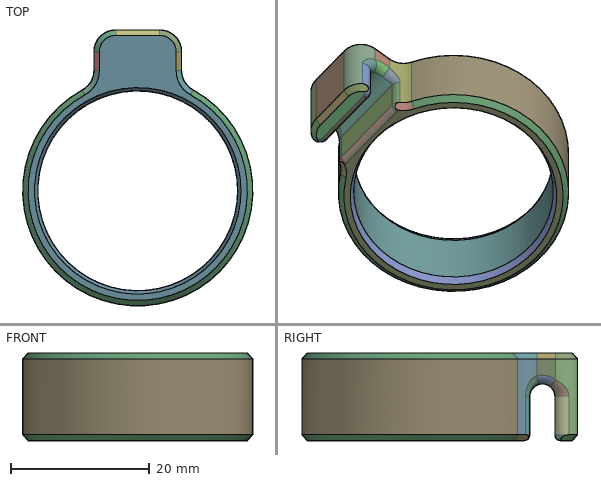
import cadquery as cq
import math

height = 12.7
ring_outer_diameter = 33.27
ring_outer_radius = ring_outer_diameter / 2
bore_diameter = 28.83
outer_chamfer_width = 0.8
outer_chamfer_height = 0.88
bore_chamfer_width = 0.5
bore_chamfer_height = 1.27

tab_width = 12.7
tab_end_y = 23.25
tab_corner_radius = 3.175
tab_root_radius = 3.175

slot_width = 3.6
slot_center_y = 18.14
slot_arch_center_z = 6.4
slot_side_radius = 1.27
slot_bottom_radius = 0.87

selection_margin = 0.01
along_x = cq.selectors.ParallelDirSelector(cq.Vector(1, 0, 0))


def make_outline():
    """Closed outline of the ring and tab, blended by arcs at the tab root."""
    half_width = tab_width / 2
    root_center_x = half_width + tab_root_radius
    root_center_distance = ring_outer_radius + tab_root_radius
    root_center_y = math.sqrt(root_center_distance**2 - root_center_x**2)
    ring_share = ring_outer_radius / root_center_distance
    tangent_x = root_center_x * ring_share
    tangent_y = root_center_y * ring_share
    corner_x = half_width - tab_corner_radius
    corner_y = tab_end_y - tab_corner_radius
    return (
        cq.Workplane("XY")
        .moveTo(tangent_x, tangent_y)
        .threePointArc((0, -ring_outer_radius), (-tangent_x, tangent_y))
        .radiusArc((-half_width, root_center_y), -tab_root_radius)
        .lineTo(-half_width, corner_y)
        .radiusArc((-corner_x, tab_end_y), tab_corner_radius)
        .lineTo(corner_x, tab_end_y)
        .radiusArc((half_width, corner_y), tab_corner_radius)
        .lineTo(half_width, root_center_y)
        .radiusArc((tangent_x, tangent_y), -tab_root_radius)
        .close()
    )


def make_bore():
    """Cutter for the through bore, flared at both ends for the bore chamfers."""
    bore_radius = bore_diameter / 2
    mouth_radius = bore_radius + bore_chamfer_width
    return (
        cq.Workplane("XZ")
        .lineTo(mouth_radius, 0)
        .lineTo(bore_radius, bore_chamfer_height)
        .lineTo(bore_radius, height - bore_chamfer_height)
        .lineTo(mouth_radius, height)
        .lineTo(0, height)
        .close()
        .revolve(360, (0, 0, 0), (0, 1, 0))
    )


def make_slot():
    """Cutter for the arched slot, as long as the ring is wide."""
    half_slot = slot_width / 2
    return (
        cq.Workplane("YZ")
        .moveTo(slot_center_y - half_slot, 0)
        .lineTo(slot_center_y - half_slot, slot_arch_center_z)
        .radiusArc((slot_center_y + half_slot, slot_arch_center_z), half_slot)
        .lineTo(slot_center_y + half_slot, 0)
        .close()
        .extrude(ring_outer_radius, both=True)
    )


def select_slot_edges(lowest_z, highest_z):
    """Selector for the edges of the slot that lie wholly within a range of heights."""
    reach_y = slot_width / 2 + selection_margin
    return cq.selectors.BoxSelector(
        (-ring_outer_radius, slot_center_y - reach_y, lowest_z - selection_margin),
        (ring_outer_radius, slot_center_y + reach_y, highest_z + selection_margin),
        boundingbox=True,
    )


def make_chamfered_blank():
    """Ring blank with its tab, not yet bored, chamfered around the top and bottom."""
    blank = make_outline().extrude(height)
    return blank.faces("<Z or >Z").chamfer(outer_chamfer_height, outer_chamfer_width)


def make_slotted_blank():
    """Square-ended blank with the slot cut and rounded where it opens on the tab sides."""
    slotted = make_outline().extrude(height).cut(make_slot())
    slot_top = slot_arch_center_z + slot_width / 2
    side_edges = select_slot_edges(0, slot_top) - along_x
    return slotted.edges(side_edges).fillet(slot_side_radius)


def round_slot_bottom(body):
    """Round the bottom edges of both slot walls."""
    bottom_edges = along_x & select_slot_edges(0, 0)
    return body.edges(bottom_edges).fillet(slot_bottom_radius)


body = make_chamfered_blank().intersect(make_slotted_blank())
body = round_slot_bottom(body)
result = body.cut(make_bore())